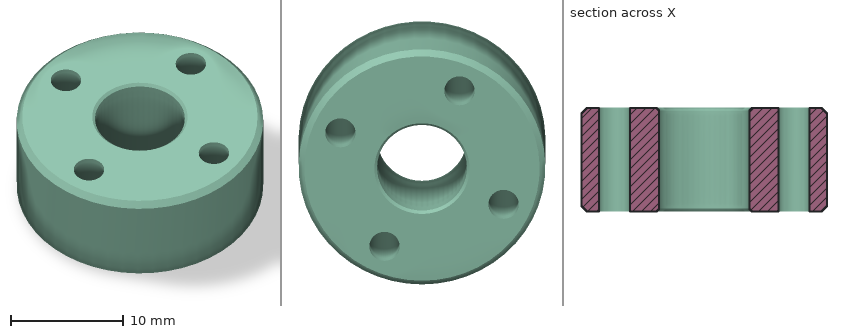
import cadquery as cq

outer_diameter = 22.0
height = 9.25
rim_chamfer = 0.5

bore_diameter = 8.0
bore_chamfer = 0.25

hole_count = 4
hole_diameter = 2.7
hole_circle_radius = 8.0


def chamfered_disc():
    """Solid disc with both rims chamfered, standing on the XY plane."""
    return cq.Workplane("XY").circle(outer_diameter / 2).extrude(height).edges("%CIRCLE").chamfer(rim_chamfer)


def chamfered_bore():
    """Cutter for the central bore, flared at both ends."""
    bore_radius = bore_diameter / 2
    mouth_radius = bore_radius + bore_chamfer
    profile = [
        (0, 0),
        (mouth_radius, 0),
        (bore_radius, bore_chamfer),
        (bore_radius, height - bore_chamfer),
        (mouth_radius, height),
        (0, height),
    ]
    return cq.Workplane("XZ").polyline(profile).close().revolve()


def bolt_holes():
    """Cutters for the through holes, on the X and Y axes."""
    return (
        cq.Workplane("XY")
        .polarArray(hole_circle_radius, 0, 360, hole_count)
        .circle(hole_diameter / 2)
        .extrude(height)
    )


result = chamfered_disc().cut(chamfered_bore()).cut(bolt_holes())